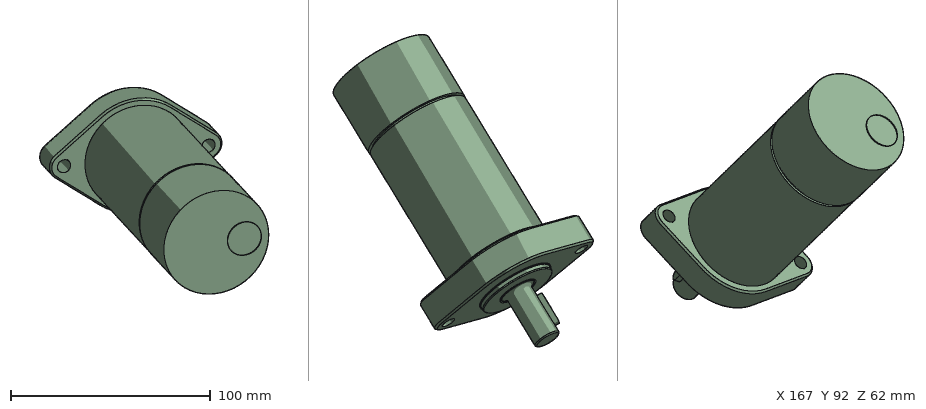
import cadquery as cq
import math

total_length = 167.0
pilot_start = 29.7
flange_start = 32.7
flange_end = 49.0
body_start = 50.1
body_end = 129.6
cap_start = 131.1
rear_pad_thickness = 0.5
cap_end = total_length - rear_pad_thickness

shaft_diameter = 14.0
body_diameter = 55.6
cap_diameter = 56.0
neck_diameter = 51.8
pilot_diameter = 40.0
pilot_lip_diameter = 41.0
pilot_lip_width = 0.5
pilot_lead_length = 0.7
pilot_lead_depth = 0.3

tip_chamfer = 0.7
shaft_fillet = 2.3
seal_bore_diameter = 19.9
seal_bore_depth = 0.8
seal_bore_chamfer = 0.5

key_start = 4.7
key_length = 18.2
key_width = 5.0
key_top = 9.5

flange_width = 92.0
flange_height = 62.0
flange_chamfer = 1.0
ear_radius = 7.5
ear_offset = flange_width / 2 - ear_radius
mounting_hole_diameter = 7.0

rear_pad_diameter = 18.0
rear_pad_offset = 14.9


def cylinder_x(start, end, diameter, y=0.0):
    """Cylinder parallel to X between two stations."""
    plane = cq.Workplane("YZ", origin=(start, y, 0))
    return plane.circle(diameter / 2).extrude(end - start)


def make_flange():
    """Central disc and two ears joined by common tangent lines."""
    disc_radius = flange_height / 2
    tangent_y = (disc_radius - ear_radius) / ear_offset
    tangent_z = math.sqrt(1 - tangent_y**2)
    disc_y = disc_radius * tangent_y
    disc_z = disc_radius * tangent_z
    ear_y = ear_offset + ear_radius * tangent_y
    ear_z = ear_radius * tangent_z
    ear_tip = ear_offset + ear_radius
    plate = (
        cq.Workplane("YZ", origin=(flange_start, 0, 0))
        .moveTo(-disc_y, disc_z)
        .threePointArc((0, disc_radius), (disc_y, disc_z))
        .lineTo(ear_y, ear_z)
        .threePointArc((ear_tip, 0), (ear_y, -ear_z))
        .lineTo(disc_y, -disc_z)
        .threePointArc((0, -disc_radius), (-disc_y, -disc_z))
        .lineTo(-ear_y, -ear_z)
        .threePointArc((-ear_tip, 0), (-ear_y, ear_z))
        .close()
        .extrude(flange_end - flange_start)
        .faces("<X or >X")
        .chamfer(flange_chamfer)
    )
    for y in (-ear_offset, ear_offset):
        plate = plate.cut(cylinder_x(flange_start, flange_end, mounting_hole_diameter, y))
    return plate


def make_pilot():
    """Locating spigot with a base lip and a shallow chamfered bore around the shaft."""
    pilot = cylinder_x(pilot_start, flange_start, pilot_diameter)
    pilot = pilot.faces("<X").chamfer(pilot_lead_length, pilot_lead_depth)
    lip = cylinder_x(flange_start - pilot_lip_width, flange_start, pilot_lip_diameter)
    bore = cylinder_x(pilot_start, pilot_start + seal_bore_depth, seal_bore_diameter)
    bored_pilot = pilot.union(lip).cut(bore)
    smallest_edge = cq.selectors.RadiusNthSelector(0)
    return bored_pilot.faces("<X").edges(smallest_edge).chamfer(seal_bore_chamfer)


def make_shaft():
    """Shaft with a chamfered tip and a fillet flaring out to its seat in the pilot."""
    radius = shaft_diameter / 2
    flare_radius = radius + shaft_fillet
    flare_start = pilot_start - shaft_fillet
    arc_leg = shaft_fillet * math.sqrt(0.5)
    arc_middle = (flare_start + arc_leg, flare_radius - arc_leg)
    return (
        cq.Workplane("XY")
        .lineTo(0, radius - tip_chamfer)
        .lineTo(tip_chamfer, radius)
        .lineTo(flare_start, radius)
        .threePointArc(arc_middle, (pilot_start, flare_radius))
        .lineTo(flange_start, flare_radius)
        .lineTo(flange_start, 0)
        .close()
        .revolve(360, (0, 0, 0), (1, 0, 0))
    )


def make_key():
    """Round-ended key reaching from the shaft axis out toward -Y."""
    return (
        cq.Workplane("XZ")
        .center(key_start + key_length / 2, 0)
        .slot2D(key_length, key_width)
        .extrude(key_top)
    )


def make_housing():
    """Motor body and rear cap on a thinner core that shows as two grooves."""
    core = cylinder_x(flange_end, cap_end, neck_diameter)
    body = cylinder_x(body_start, body_end, body_diameter)
    cap = cylinder_x(cap_start, cap_end, cap_diameter)
    pad = cylinder_x(cap_end, total_length, rear_pad_diameter, rear_pad_offset)
    return core.union(body).union(cap).union(pad)


result = (
    make_flange()
    .union(make_pilot())
    .union(make_shaft())
    .union(make_key())
    .union(make_housing())
)